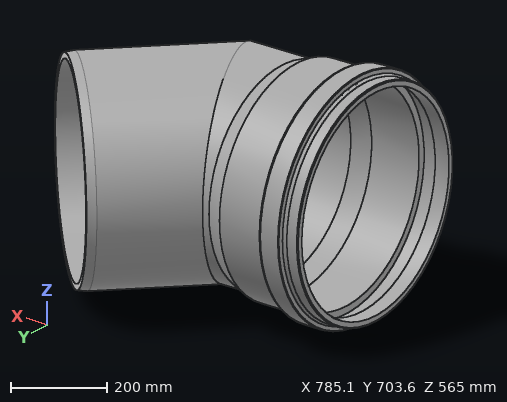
import cadquery as cq

BEND_ANGLE = 45.0
MITRE_X = 364.0
LEG_LENGTH = 347.0
PIPE_RADIUS = 503.0 / 2
PIPE_BORE_RADIUS = 470.0 / 2

END_CHAMFER_LENGTH = 20.5
END_CHAMFER_DEPTH = 3.0

SOCKET_RADIUS = 532.0 / 2
SOCKET_BORE_RADIUS = 502.0 / 2
CONE_START_X = 205.0
BORE_CONE_START_X = 201.0
CONE_END_X = 243.0

COLLAR_RADIUS = 565.0 / 2
GROOVE_RADIUS = 536.5 / 2
GROOVE_END_X = 77.0
COLLAR_FACE_X = 38.5
COLLAR_END_X = 89.5
COLLAR_FRONT_EDGE_LENGTH = 1.5
COLLAR_REAR_EDGE_LENGTH = 4.0
COLLAR_EDGE_DEPTH = 1.5
FOOT_CHAMFER = 2.0

RING_RADIUS = 534.0 / 2
RING_BORE_RADIUS = 505.0 / 2
RING_LENGTH = 36.0
RING_FLARE_X = 28.0
RING_FLARE_RADIUS = 271.5
RING_EDGE_CHAMFER = 2.0

BLOCK_SIZE = 4 * COLLAR_RADIUS


def revolve_about_x(points):
    """Solid of revolution from (x, radius) points."""
    return cq.Workplane("XY").polyline(points).close().revolve(360, (0, 0, 0), (1, 0, 0))


def make_socket_leg():
    """Collar, socket, cone and pipe, running past the mitre before trimming."""
    run_end_x = MITRE_X + PIPE_RADIUS
    return revolve_about_x([
        (RING_LENGTH, GROOVE_RADIUS),
        (RING_LENGTH, RING_FLARE_RADIUS),
        (COLLAR_FACE_X, COLLAR_RADIUS - COLLAR_EDGE_DEPTH),
        (COLLAR_FACE_X + COLLAR_FRONT_EDGE_LENGTH, COLLAR_RADIUS),
        (COLLAR_END_X - COLLAR_REAR_EDGE_LENGTH, COLLAR_RADIUS),
        (COLLAR_END_X, COLLAR_RADIUS - COLLAR_EDGE_DEPTH),
        (COLLAR_END_X, SOCKET_RADIUS + FOOT_CHAMFER),
        (COLLAR_END_X + FOOT_CHAMFER, SOCKET_RADIUS),
        (CONE_START_X, SOCKET_RADIUS),
        (CONE_END_X, PIPE_RADIUS),
        (run_end_x, PIPE_RADIUS),
        (run_end_x, PIPE_BORE_RADIUS),
        (CONE_END_X, PIPE_BORE_RADIUS),
        (BORE_CONE_START_X, SOCKET_BORE_RADIUS),
        (GROOVE_END_X, SOCKET_BORE_RADIUS),
        (GROOVE_END_X, GROOVE_RADIUS),
    ])


def make_spigot_leg():
    """Plain pipe with a chamfered end, turned by the bend angle about the mitre centre."""
    leg = revolve_about_x([
        (-PIPE_RADIUS, PIPE_BORE_RADIUS),
        (-PIPE_RADIUS, PIPE_RADIUS),
        (LEG_LENGTH - END_CHAMFER_LENGTH, PIPE_RADIUS),
        (LEG_LENGTH, PIPE_RADIUS - END_CHAMFER_DEPTH),
        (LEG_LENGTH, PIPE_BORE_RADIUS),
    ])
    return leg.rotate((0, 0, 0), (0, 0, 1), BEND_ANGLE).translate((MITRE_X, 0, 0))


def make_mitre_block():
    """Block on the spigot side of the plane that bisects the bend."""
    return (
        cq.Workplane("XY")
        .box(BLOCK_SIZE, BLOCK_SIZE, BLOCK_SIZE, centered=(False, True, True))
        .rotate((0, 0, 0), (0, 0, 1), BEND_ANGLE / 2)
        .translate((MITRE_X, 0, 0))
    )


def make_elbow():
    """Both legs trimmed at the mitre plane and joined into one pipe bend."""
    block = make_mitre_block()
    socket_leg = make_socket_leg().cut(block)
    spigot_leg = make_spigot_leg().intersect(block)
    return socket_leg.union(spigot_leg)


def make_lip_ring():
    """Ring at the socket mouth, flared where it butts against the collar."""
    return revolve_about_x([
        (0, RING_BORE_RADIUS),
        (0, RING_RADIUS - RING_EDGE_CHAMFER),
        (RING_EDGE_CHAMFER, RING_RADIUS),
        (RING_FLARE_X, RING_RADIUS),
        (RING_LENGTH, RING_FLARE_RADIUS),
        (RING_LENGTH, RING_BORE_RADIUS),
    ])


elbow = make_elbow()
lip_ring = make_lip_ring()

result = cq.Compound.makeCompound([elbow.val(), lip_ring.val()])